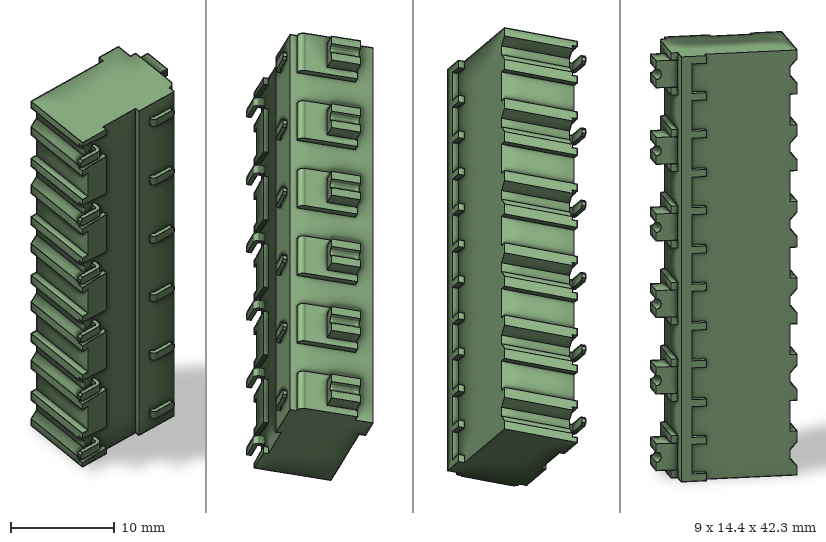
import cadquery as cq

POLES = 6
PITCH = 7.62
END_MARGIN = 2.1
LENGTH = (POLES - 1) * PITCH + 2 * END_MARGIN
POLE_CENTRES = [END_MARGIN + i * PITCH for i in range(POLES)]
GAP_CENTRES = [z + PITCH / 2 for z in POLE_CENTRES[:-1]]

FLANGE_DEPTH = 0.65
FOOT_X = 8.43
FOOT_HEIGHT = 0.5
BASE_X = FOOT_X - FOOT_HEIGHT
BACK_Y = 11.55
FLANGE_Y = 10.48
FLANGE_TAB_Y = 9.08
BASE_RECESS_Y = (3.0, 7.1)
TAB_GAP_WIDTH = 3.05
TAB_THICKNESS = 0.7
END_TAB_THICKNESS = 0.75

GROOVE_DEPTH = 0.7
GROOVE_FLOOR_HALF = 0.46
GROOVE_MOUTH_HALF = 1.23
PIN_POCKET_MOUTH_HALF = 1.57
PIN_POCKET_REAR_HALF = 1.37

PAD_X = (1.8, 7.7)
PAD_HEIGHT = 0.65
PAD_TOP_Y = BACK_Y + PAD_HEIGHT
PAD_HALF = END_MARGIN
PAD_CORNER_RADIUS = 0.6

BUTTON_X = (1.93, 4.86)
BUTTON_TIP_Y = 13.65
BUTTON_HALF = 1.34
BUTTON_NOTCH_RADIUS = 0.5

PIN_THICKNESS = 0.4
PIN_WIDTH = 0.9
PIN_OUTER_X = 9.0
PIN_LENGTH = 2.68
PIN_BEND_RADIUS = 0.5
PIN_TIP_CHAMFER = 0.25
PIN_ROOT = 0.2
FRONT_PIN_TIP_Y = -0.73
REAR_PIN_TIP_Y = 11.1


def box(x, y, z):
    """Axis-aligned box from (low, high) pairs."""
    size = [high - low for low, high in (x, y, z)]
    return cq.Workplane("XY").box(*size, centered=False).translate((x[0], y[0], z[0]))


def span(centre, half):
    return (centre - half, centre + half)


def yz_prism(points, x):
    """Outline of (y, z) points extruded over the given x range."""
    prism = cq.Workplane("YZ").polyline(points).close().extrude(x[1] - x[0])
    return prism.translate((x[0], 0, 0))


def housing():
    full_length = (0, LENGTH)
    body = box((FLANGE_DEPTH, FOOT_X), (0, BACK_Y), full_length)
    body = body.cut(box((BASE_X, FOOT_X), BASE_RECESS_Y, full_length))
    return body.union(box((0, FLANGE_DEPTH), (FLANGE_Y, BACK_Y), full_length))


def flange_tabs():
    """Tabs at both ends of the flange and on either side of every gap between poles."""
    half_gap = TAB_GAP_WIDTH / 2
    z_ranges = [(0, END_TAB_THICKNESS), (LENGTH - END_TAB_THICKNESS, LENGTH)]
    for z in GAP_CENTRES:
        z_ranges.append((z - half_gap - TAB_THICKNESS, z - half_gap))
        z_ranges.append((z + half_gap, z + half_gap + TAB_THICKNESS))
    tabs = cq.Workplane("XY")
    for z_range in z_ranges:
        tabs = tabs.add(box((0, FLANGE_DEPTH), (FLANGE_TAB_Y, FLANGE_Y), z_range))
    return tabs.combine()


def gap_groove(z):
    """Rectangular groove across the front face between two poles."""
    return box((FLANGE_DEPTH, FOOT_X), (0, GROOVE_DEPTH), span(z, TAB_GAP_WIDTH / 2))


def pole_groove(z):
    """Groove with sloped flanks across the front face at a pole."""
    outline = [
        (0, z - GROOVE_MOUTH_HALF),
        (GROOVE_DEPTH, z - GROOVE_FLOOR_HALF),
        (GROOVE_DEPTH, z + GROOVE_FLOOR_HALF),
        (0, z + GROOVE_MOUTH_HALF),
    ]
    return yz_prism(outline, (FLANGE_DEPTH, BASE_X))


def pin_pocket(z):
    """Slightly tapered passage through the front foot, around the front pin."""
    rear_y = BASE_RECESS_Y[0]
    outline = [
        (0, z - PIN_POCKET_MOUTH_HALF),
        (rear_y, z - PIN_POCKET_REAR_HALF),
        (rear_y, z + PIN_POCKET_REAR_HALF),
        (0, z + PIN_POCKET_MOUTH_HALF),
    ]
    return yz_prism(outline, (BASE_X, FOOT_X))


def pad(z):
    """Raised pad with one rounded edge and a shallow side recess next to the button."""
    block = box(PAD_X, (BACK_Y, PAD_TOP_Y), span(z, PAD_HALF))
    block = block.edges(">X and >Y").fillet(PAD_CORNER_RADIUS)
    side_recess = box((PAD_X[0], BUTTON_X[0]), (BACK_Y, PAD_TOP_Y), span(z, BUTTON_HALF))
    return block.cut(side_recess)


def button(z):
    """Release button with a half-round notch in its tip."""
    block = box(BUTTON_X, (BACK_Y, BUTTON_TIP_Y), span(z, BUTTON_HALF))
    notch = cq.Workplane("YZ").center(BUTTON_TIP_Y, z).circle(BUTTON_NOTCH_RADIUS).extrude(FOOT_X)
    return block.cut(notch)


def pin(z, tip_y, root_x, direction):
    """L-shaped pin leaving the base along +X and bent towards its tip.

    direction is +1 when the tip points to +Y and -1 when it points to -Y.
    """
    inner_radius = PIN_BEND_RADIUS - PIN_THICKNESS
    inner_x = PIN_OUTER_X - PIN_THICKNESS
    bend_x = PIN_OUTER_X - PIN_BEND_RADIUS
    heel_y = tip_y - direction * PIN_LENGTH
    bend_y = heel_y + direction * PIN_BEND_RADIUS
    inner_y = heel_y + direction * PIN_THICKNESS
    strip = (
        cq.Workplane("XY")
        .moveTo(root_x, heel_y)
        .lineTo(bend_x, heel_y)
        .radiusArc((PIN_OUTER_X, bend_y), -direction * PIN_BEND_RADIUS)
        .lineTo(PIN_OUTER_X, tip_y)
        .lineTo(inner_x, tip_y)
        .lineTo(inner_x, bend_y)
        .radiusArc((bend_x, inner_y), direction * inner_radius)
        .lineTo(root_x, inner_y)
        .close()
        .extrude(PIN_WIDTH)
        .translate((0, 0, z - PIN_WIDTH / 2))
    )
    tip_face = ">Y" if direction > 0 else "<Y"
    tip_edges = strip.faces(tip_face).edges("|X")
    return tip_edges.chamfer(PIN_TIP_CHAMFER)


result = housing().union(flange_tabs())
for gap_z in GAP_CENTRES:
    result = result.cut(gap_groove(gap_z))
for pole_z in POLE_CENTRES:
    result = result.cut(pole_groove(pole_z)).cut(pin_pocket(pole_z))
    result = result.union(pad(pole_z)).union(button(pole_z))
    result = result.union(pin(pole_z, FRONT_PIN_TIP_Y, BASE_X - PIN_ROOT, -1))
    result = result.union(pin(pole_z, REAR_PIN_TIP_Y, FOOT_X - PIN_ROOT, 1))